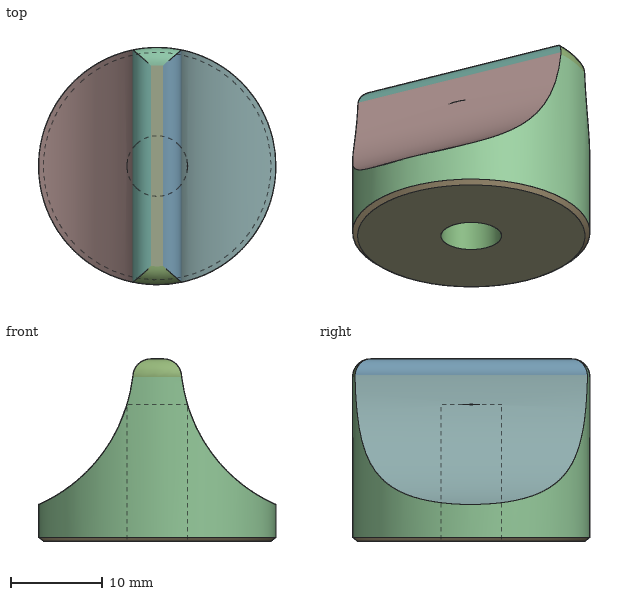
import cadquery as cq

body_diameter = 26.0
body_height = 20.0

scoop_radius = 17.42
scoop_center_x = 20.0
scoop_center_z = body_height

ridge_fillet = 2.0
base_chamfer_width = 0.55
base_chamfer_height = 0.45

bore_diameter = 6.63
bore_depth = 15.0


def make_scoop(side):
    """Cylinder along Y that hollows one flank; side is -1 or +1 along X."""
    return (
        cq.Workplane("XZ")
        .center(side * scoop_center_x, scoop_center_z)
        .circle(scoop_radius)
        .extrude(body_diameter, both=True)
    )


knob = cq.Workplane("XY").circle(body_diameter / 2).extrude(body_height)
for side in (-1, 1):
    knob = knob.cut(make_scoop(side))

knob = knob.faces(">Z").edges().fillet(ridge_fillet)
knob = knob.faces("<Z").edges().chamfer(base_chamfer_height, base_chamfer_width)

bore = cq.Workplane("XY").circle(bore_diameter / 2).extrude(bore_depth)
result = knob.cut(bore)